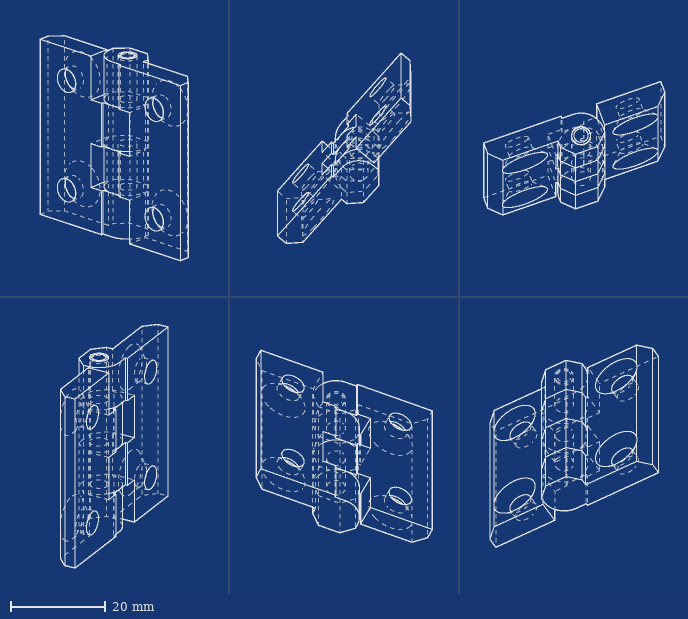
import cadquery as cq
import math

HINGE_WIDTH = 40.0
HINGE_HEIGHT = 40.0
HINGE_DEPTH = 9.0

PLATE_THICKNESS = 5.0
EDGE_CHAMFER = PLATE_THICKNESS / 2
PLATE_CLEARANCE = PLATE_THICKNESS / 10

KNUCKLE_COUNT = 4
KNUCKLE_HEIGHT = HINGE_HEIGHT / KNUCKLE_COUNT
KNUCKLE_RADIUS = 5.0
KNUCKLE_CHAMFER = KNUCKLE_RADIUS / 2
FLAT_HALF_WIDTH = KNUCKLE_RADIUS - KNUCKLE_CHAMFER
RELIEF_DEPTH = PLATE_CLEARANCE
AXIS_Y = RELIEF_DEPTH + KNUCKLE_RADIUS

PIN_DIAMETER = 4.0
PIN_CHAMFER = PIN_DIAMETER / 8

HOLE_DIAMETER = 5.2
COUNTERSINK_DIAMETER = 10.2
COUNTERSINK_ANGLE = 90.0
HOLE_SPACING = 25.0

HALF_WIDTH = HINGE_WIDTH / 2
HALF_HEIGHT = HINGE_HEIGHT / 2
PLATE_INNER_EDGE = KNUCKLE_RADIUS + PLATE_CLEARANCE


def make_plate():
    """Right-hand plate with its outer rear edge chamfered."""
    return (
        cq.Workplane("XY")
        .workplane(offset=-HALF_HEIGHT)
        .moveTo(PLATE_INNER_EDGE, 0)
        .lineTo(HALF_WIDTH, 0)
        .lineTo(HALF_WIDTH, PLATE_THICKNESS - EDGE_CHAMFER)
        .lineTo(HALF_WIDTH - EDGE_CHAMFER, PLATE_THICKNESS)
        .lineTo(PLATE_INNER_EDGE, PLATE_THICKNESS)
        .close()
        .extrude(HINGE_HEIGHT)
    )


def make_knuckle(bottom_z):
    """Knuckle reaching from the right-hand plate around the pin axis."""
    arc_offset = KNUCKLE_RADIUS * math.sqrt(0.5)
    shoulder_y = HINGE_DEPTH - KNUCKLE_CHAMFER
    return (
        cq.Workplane("XY")
        .workplane(offset=bottom_z)
        .moveTo(PLATE_INNER_EDGE, 0)
        .lineTo(PLATE_INNER_EDGE, PLATE_THICKNESS)
        .lineTo(KNUCKLE_RADIUS, PLATE_THICKNESS)
        .lineTo(KNUCKLE_RADIUS, shoulder_y)
        .lineTo(FLAT_HALF_WIDTH, HINGE_DEPTH)
        .lineTo(-FLAT_HALF_WIDTH, HINGE_DEPTH)
        .lineTo(-KNUCKLE_RADIUS, shoulder_y)
        .lineTo(-KNUCKLE_RADIUS, AXIS_Y)
        .threePointArc((-arc_offset, AXIS_Y - arc_offset), (0, RELIEF_DEPTH))
        .lineTo(FLAT_HALF_WIDTH, RELIEF_DEPTH)
        .lineTo(FLAT_HALF_WIDTH, 0)
        .close()
        .extrude(KNUCKLE_HEIGHT)
    )


def make_pin_cylinder():
    """Full-height cylinder on the hinge axis, for the pin and its bore."""
    return (
        cq.Workplane("XY")
        .workplane(offset=-HALF_HEIGHT)
        .center(0, AXIS_Y)
        .circle(PIN_DIAMETER / 2)
        .extrude(HINGE_HEIGHT)
    )


def make_mounting_holes():
    """Two through-hole cutters, countersunk from the rear, for the right-hand plate."""
    half_spacing = HOLE_SPACING / 2
    hole_radius = HOLE_DIAMETER / 2
    sink_radius = COUNTERSINK_DIAMETER / 2
    sink_depth = (sink_radius - hole_radius) / math.tan(math.radians(COUNTERSINK_ANGLE / 2))
    hole = (
        cq.Workplane("XY")
        .lineTo(hole_radius, 0)
        .lineTo(hole_radius, PLATE_THICKNESS - sink_depth)
        .lineTo(sink_radius, PLATE_THICKNESS)
        .lineTo(0, PLATE_THICKNESS)
        .close()
        .revolve(360, (0, 0, 0), (0, 1, 0))
    )
    lower_hole = hole.translate((half_spacing, 0, -half_spacing))
    upper_hole = hole.translate((half_spacing, 0, half_spacing))
    return lower_hole.union(upper_hole)


def make_leaf(first_knuckle):
    """Right-hand leaf with every second knuckle, counted from the bottom."""
    leaf = make_plate()
    for index in range(first_knuckle, KNUCKLE_COUNT, 2):
        leaf = leaf.union(make_knuckle(-HALF_HEIGHT + index * KNUCKLE_HEIGHT))
    return leaf.cut(make_mounting_holes())


bored_leaf = make_leaf(first_knuckle=1).cut(make_pin_cylinder())

pin = make_pin_cylinder().faces(">Z").chamfer(PIN_CHAMFER)
pin_leaf = make_leaf(first_knuckle=0).mirror("YZ").union(pin)

result = cq.Compound.makeCompound([bored_leaf.val(), pin_leaf.val()])